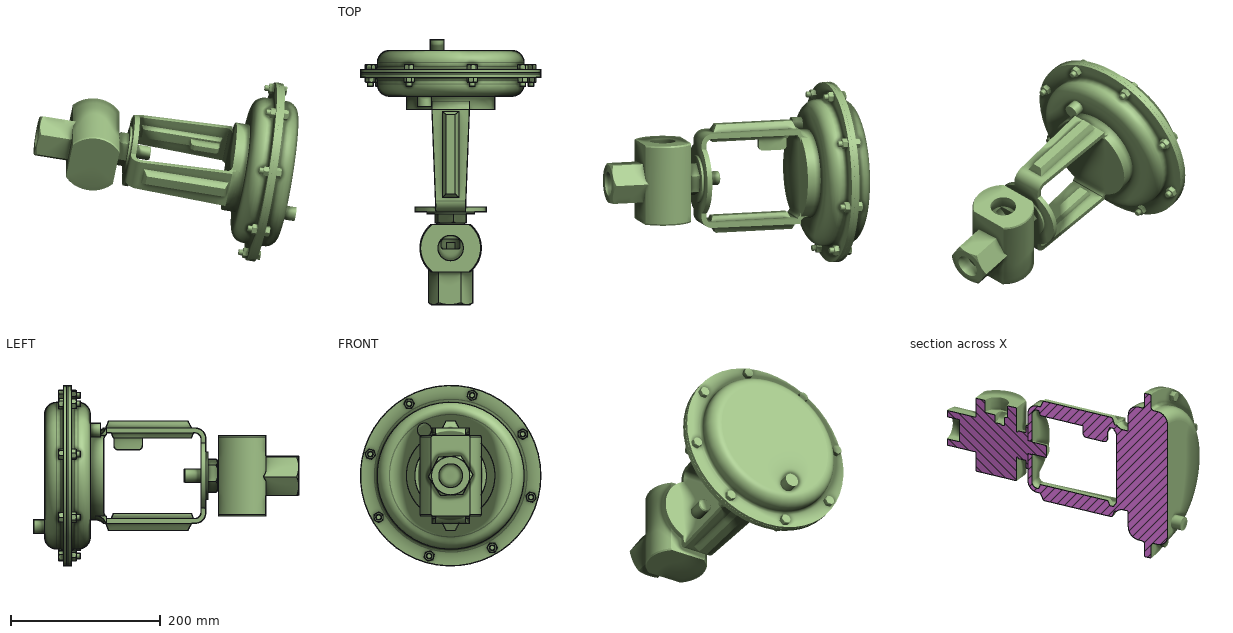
import cadquery as cq
import math


flange_radius = 241 / 2
diaphragm_radius = 241.5 / 2
diaphragm_half_thickness = 1.0
flange_half_thickness = 5.3
case_radius = 98.2
case_half_depth = 61.5 / 2
case_rim_fillet = 16.3
case_root_fillet = 4.0
boss_radius = 59.2
boss_front = -48.5

bolt_count = 8
bolt_circle_radius = 111.15
first_bolt_angle = 30
bolt_hex_radius = 7
bolt_hex_height = 6.7
bolt_hex_chamfer = 1.0
bolt_head_turn = 30
bolt_radius = 4.0
bolt_length = 5.5
bolt_tip_chamfer = 0.7

connection_radius = 9.4
connection_circle_radius = 70.4
front_connection_angle = 120
front_connection_end = -44.3
rear_connection_angle = 255
rear_connection_end = 45.2

yoke_thickness = 6.7
yoke_half_height = 64
yoke_base_half_width = 25.0
yoke_end_half_width = 20.0
yoke_front = -185.0
yoke_bend_radius = 14.5
yoke_disc_radius = 48.0
flare_start = -37.5
flare_radius = 15.0
base_fillet = 9.5

outer_rib_height = 9.5
outer_rib_half_widths = (11.0, 6.0)
outer_rib_base_ends = (-51.0, -166.0)
outer_rib_top_ends = (-55.0, -161.0)
inner_rib_height = 6.7
inner_rib_half_widths = (9.2, 6.5)
inner_rib_base_ends = (-58.5, -168.5)
inner_rib_top_ends = (-61.5, -166.0)

tab_back = -62.0
tab_front = -100.5
tab_bottom = 34.5
tab_half_thickness = 3.5
tab_corner_radius = 5.5

stem_radius = 9.2
stem_back = -155.5
stem_chamfer = 1.5
washer_radius = 32
washer_thickness = 3.0
nut_radius = 22.5
nut_turn = 20
nut_front = -200.5
nut_chamfer = 1.8
neck_radius = 18.8
body_back = -201.8
body_front = -265.2
body_radius = 41.0
body_half_height = 54.0
body_edge_height = 2.0
body_edge_inset = 1.0
fitting_front = -309.37
fitting_radius = 29.8
fitting_turn = 3
fitting_face_radius = 25.5
fitting_chamfer_length = 3.0
fitting_bore_radius = 16.0
fitting_bore_depth = 18.5
port_radius = 17.0
port_depth = 17.7

recess_back = 12.0
recess_step = 7.5
recess_front = -1.5
recess_half_width = 12.8
recess_corner_radius = 3.5
recess_flat_half_width = 5.5

body_middle = (body_back + body_front) / 2
yoke_inner_height = yoke_half_height - yoke_thickness
yoke_back_of_plate = yoke_front + yoke_thickness


def rod(radius, back, front, x=0, z=0):
    """Cylinder parallel to Y from back to front."""
    return cq.Workplane("XZ", origin=(x, back, z)).circle(radius).extrude(back - front)


def hex_rod(radius, back, front, turn, chamfer_length, chamfer_width):
    """Hexagonal prism along Y with a turned chamfer at its front; radius reaches the corners."""
    prism = cq.Workplane("XZ", origin=(0, back, 0)).polygon(6, 2 * radius).extrude(back - front)
    turned = rod(radius, back, front).faces("<Y").chamfer(chamfer_length, chamfer_width)
    return around_axis(prism, turn).intersect(turned)


def around_axis(shape, angle):
    """Turn a shape about the Y axis, from +X toward +Z."""
    return shape.rotate((0, 0, 0), (0, -1, 0), angle)


def make_case():
    root = flange_half_thickness
    shell = rod(case_radius, case_half_depth, -case_half_depth).edges().fillet(case_rim_fillet)
    flange = rod(flange_radius, root, -root)
    case = shell.union(flange)
    for side in (1, -1):
        edge = cq.selectors.BoxSelector(
            (-case_radius - 3.5, side * root - 0.5, -case_radius - 3.5),
            (case_radius + 3.5, side * root + 0.5, case_radius + 3.5),
            boundingbox=True,
        )
        case = case.edges(edge).fillet(case_root_fillet)
    diaphragm = rod(diaphragm_radius, diaphragm_half_thickness, -diaphragm_half_thickness)
    return case.union(diaphragm).union(rod(boss_radius, 0, boss_front))


def make_bolt():
    """Head, nut and projecting tip, ready to be turned into place around the case."""
    head_back = flange_half_thickness + bolt_hex_height
    tip = -head_back - bolt_length
    nut = hex_rod(bolt_hex_radius, 0, -head_back, 0, bolt_hex_chamfer, bolt_hex_chamfer)
    head = around_axis(nut.mirror("XZ"), bolt_head_turn)
    shank = rod(bolt_radius, 0, tip).faces("<Y").chamfer(bolt_tip_chamfer)
    return head.union(nut).union(shank).translate((bolt_circle_radius, 0, 0))


def make_connection(angle, end):
    back, front = max(end, 0), min(end, 0)
    return around_axis(rod(connection_radius, back, front, x=connection_circle_radius), angle)


def make_arm_rib(base_z, height, half_widths, base_ends, top_ends):
    """Tapered bar on the arm, from base_z by the signed height; sizes run from base to top."""
    base_half_width, top_half_width = half_widths

    def section(z, ends, half_width):
        back, front = ends
        corners = [(-half_width, back), (half_width, back), (half_width, front), (-half_width, front)]
        return cq.Wire.makePolygon([cq.Vector(x, y, z) for x, y in corners], close=True)

    base = section(base_z, base_ends, base_half_width)
    top = section(base_z + height, top_ends, top_half_width)
    return cq.Workplane(cq.Solid.makeLoft([base, top], True))


def make_upper_flare():
    """Concave flare that carries the boss surface out to the upper arm."""
    flare_end = flare_start - flare_radius
    flared = (
        cq.Workplane("XY")
        .moveTo(0, flare_start)
        .lineTo(boss_radius, flare_start)
        .radiusArc((boss_radius + flare_radius, flare_end), -flare_radius)
        .lineTo(0, flare_end)
        .close()
        .revolve(360, (0, 0, 0), (0, 1, 0))
    )
    fillet_end = boss_front - base_fillet
    arm_root = (
        cq.Workplane("YZ", origin=(-yoke_base_half_width, 0, 0))
        .moveTo(flare_start, 0)
        .lineTo(flare_start, yoke_half_height)
        .lineTo(fillet_end, yoke_half_height)
        .lineTo(fillet_end, yoke_inner_height)
        .radiusArc((boss_front, yoke_inner_height - base_fillet), base_fillet)
        .lineTo(boss_front, 0)
        .close()
        .extrude(2 * yoke_base_half_width)
    )
    return flared.intersect(arm_root)


def make_yoke():
    length = boss_front - yoke_front
    outer = (
        cq.Workplane("XY")
        .box(2 * flange_radius, length, 2 * yoke_half_height)
        .edges("<Y and |X").fillet(yoke_bend_radius)
        .translate((0, (boss_front + yoke_front) / 2, 0))
    )
    inner = (
        cq.Workplane("XY")
        .box(2 * flange_radius, length, 2 * yoke_inner_height)
        .edges("<Y and |X").fillet(yoke_bend_radius - yoke_thickness)
        .translate((0, (boss_front + yoke_front) / 2 + yoke_thickness, 0))
    )
    taper = (
        cq.Workplane("XY", origin=(0, 0, -yoke_half_height))
        .polyline([
            (-yoke_base_half_width, boss_front),
            (yoke_base_half_width, boss_front),
            (yoke_end_half_width, yoke_front),
            (-yoke_end_half_width, yoke_front),
        ])
        .close()
        .extrude(2 * yoke_half_height)
    )
    yoke = outer.cut(inner).intersect(taper)
    yoke = yoke.union(rod(yoke_disc_radius, yoke_back_of_plate, yoke_front))

    outer_rib = make_arm_rib(
        yoke_half_height, outer_rib_height, outer_rib_half_widths, outer_rib_base_ends, outer_rib_top_ends
    )
    inner_rib = make_arm_rib(
        yoke_inner_height, -inner_rib_height, inner_rib_half_widths, inner_rib_base_ends, inner_rib_top_ends
    )
    for arm_part in (make_upper_flare(), outer_rib, inner_rib):
        yoke = yoke.union(arm_part).union(arm_part.mirror("XY"))

    tab = (
        cq.Workplane("XY")
        .box(2 * tab_half_thickness, tab_back - tab_front, yoke_inner_height - tab_bottom)
        .edges("<Z and |X").fillet(tab_corner_radius)
        .translate((0, (tab_back + tab_front) / 2, (yoke_inner_height + tab_bottom) / 2))
    )
    return yoke.union(tab)


def make_actuator():
    """Case with its bolts, air connections and yoke, with a clearance-free hole for the stem."""
    actuator = make_case()
    bolt = make_bolt()
    for index in range(bolt_count):
        actuator = actuator.union(around_axis(bolt, first_bolt_angle + index * 360 / bolt_count))
    actuator = actuator.union(make_connection(front_connection_angle, front_connection_end))
    actuator = actuator.union(make_connection(rear_connection_angle, rear_connection_end))
    actuator = actuator.union(make_yoke())
    return actuator.cut(rod(stem_radius, yoke_back_of_plate, yoke_front))


def make_valve_body():
    """Upright round body with flat faces toward the yoke and the fitting."""
    body = (
        cq.Workplane("XY", origin=(0, body_middle, -body_half_height))
        .circle(body_radius)
        .extrude(2 * body_half_height)
        .faces("<Z or >Z")
        .chamfer(body_edge_height, body_edge_inset)
    )
    flats = cq.Workplane("XY").box(2 * body_radius, body_back - body_front, 2 * body_half_height)
    return body.intersect(flats.translate((0, body_middle, 0)))


def make_fitting():
    """Hexagonal end fitting with a cone-chamfered face."""
    chamfer_width = fitting_radius - fitting_face_radius
    return hex_rod(
        fitting_radius, body_middle, fitting_front, fitting_turn, fitting_chamfer_length, chamfer_width
    )


def make_port_cutter():
    """Blind port from the top of the body, with a rounded trough in its floor."""
    floor = body_half_height - port_depth
    port = cq.Workplane("XY", origin=(0, body_middle, floor)).circle(port_radius).extrude(port_depth)
    plan = (
        cq.Workplane("XY", origin=(0, (recess_back + recess_front) / 2, -recess_half_width))
        .rect(2 * recess_half_width, recess_back - recess_front)
        .extrude(recess_half_width)
        .edges("|Z").fillet(recess_corner_radius)
    )
    trough = rod(recess_half_width, recess_back, recess_front)
    flat_depth = math.sqrt(recess_half_width**2 - recess_flat_half_width**2)
    front_block = (
        cq.Workplane("XY", origin=(0, 0, -recess_half_width))
        .polyline([
            (-recess_half_width, recess_step),
            (recess_half_width, recess_step),
            (recess_half_width, recess_front),
            (-recess_half_width, recess_front),
        ])
        .close()
        .extrude(recess_half_width - flat_depth)
    )
    recess = plan.intersect(trough).cut(front_block).translate((0, body_middle, floor))
    return port.union(recess)


def make_valve():
    """Stem, washer, nut, neck, body and end fitting."""
    washer_front = yoke_front - washer_thickness
    valve = rod(stem_radius, stem_back, body_middle).faces(">Y").chamfer(stem_chamfer)
    valve = valve.union(rod(washer_radius, yoke_front, washer_front))
    valve = valve.union(hex_rod(nut_radius, washer_front, nut_front, nut_turn, nut_chamfer, nut_chamfer))
    valve = valve.union(rod(neck_radius, washer_front, body_middle))
    valve = valve.union(make_valve_body()).union(make_fitting())
    bore = rod(fitting_bore_radius, fitting_front + fitting_bore_depth, fitting_front)
    return valve.cut(bore).cut(make_port_cutter())


actuator = make_actuator()
valve = make_valve()

result = cq.Compound.makeCompound([actuator.solids().val(), valve.solids().val()])